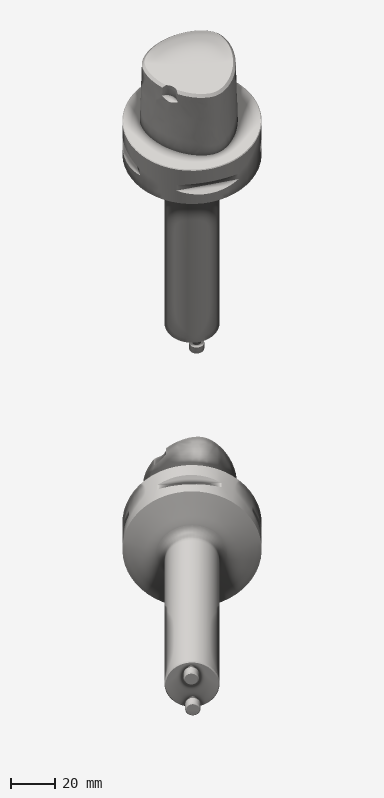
import cadquery as cq
import math

total_length = 178
shank_height = 37.7
flange_height = 21.9
bar_end_z = -132.3
tip_z = shank_height - total_length

flange_radius = 63.0 / 2
bar_radius = 25 / 2
cone_angle = math.radians(15)
neck_fillet = 4.6
rim_chamfer = 0.4
bar_chamfer = 0.5

shank_mean_radius = 44.3 / 2
lobe_size = 1.5
shank_taper = 1 / 40
shank_chamfer = 1.2
lobe_count = 3
profile_points = 48

notch_radius = 5.0
notch_cut = 2.3
notch_height = 6.4
notch_tip_height = 0.7 * notch_radius

groove_count = 4
groove_z = -12.3
groove_depth = 3.5
groove_floor_width = 3.5
groove_mouth_width = 7.7

screw_offset = 5.9
stem_radius = 4.0 / 2
head_radius = 7.0 / 2
head_height = 4.5
head_chamfer = 0.5


def shank_outline(mean_radius):
    """Closed three-lobed curve of constant width, with one lobe toward +Y."""
    points = []
    for i in range(profile_points):
        normal = 2 * math.pi * i / profile_points
        phase = lobe_count * (normal - math.pi / 2)
        support = mean_radius + lobe_size * math.cos(phase)
        slope = -lobe_count * lobe_size * math.sin(phase)
        x = support * math.cos(normal) - slope * math.sin(normal)
        y = support * math.sin(normal) + slope * math.cos(normal)
        points.append((x, y))
    return points


def shank_section(bottom_z, bottom_radius, top_z, top_radius):
    return (
        cq.Workplane("XY", origin=(0, 0, bottom_z))
        .spline(shank_outline(bottom_radius), periodic=True).close()
        .workplane(offset=top_z - bottom_z)
        .spline(shank_outline(top_radius), periodic=True).close()
        .loft(ruled=True)
    )


def shank():
    chamfer_z = shank_height - shank_chamfer
    chamfer_radius = shank_mean_radius - shank_taper * chamfer_z
    taper = shank_section(0, shank_mean_radius, chamfer_z, chamfer_radius)
    end = shank_section(chamfer_z, chamfer_radius, shank_height, chamfer_radius - shank_chamfer)
    return taper.union(end)


def notch_cutter():
    notch_z = shank_height - notch_height
    flat_y = lobe_size - shank_mean_radius + shank_taper * notch_z
    axis_y = flat_y + notch_cut - notch_radius
    return (
        cq.Workplane("XZ", origin=(0, axis_y, 0))
        .moveTo(0, notch_z - notch_tip_height)
        .lineTo(notch_radius, notch_z)
        .lineTo(notch_radius, shank_height)
        .lineTo(0, shank_height)
        .close()
        .revolve(360, (0, 0, 0), (0, 1, 0))
    )


def flange_and_bar():
    cone_end_z = -flange_height - (flange_radius - bar_radius) * math.tan(cone_angle)
    tangent = neck_fillet * math.tan((math.pi / 2 - cone_angle) / 2)
    fillet_center = (bar_radius + neck_fillet, cone_end_z - tangent)
    mid_angle = (math.pi / 2 - cone_angle) / 2
    fillet_mid = (
        fillet_center[0] - neck_fillet * math.cos(mid_angle),
        fillet_center[1] + neck_fillet * math.sin(mid_angle),
    )
    return (
        cq.Workplane("XZ")
        .moveTo(0, 0)
        .lineTo(flange_radius - rim_chamfer, 0)
        .lineTo(flange_radius, -rim_chamfer)
        .lineTo(flange_radius, -flange_height)
        .lineTo(
            bar_radius + tangent * math.cos(cone_angle),
            cone_end_z + tangent * math.sin(cone_angle),
        )
        .threePointArc(fillet_mid, (bar_radius, fillet_center[1]))
        .lineTo(bar_radius, bar_end_z + bar_chamfer)
        .lineTo(bar_radius - bar_chamfer, bar_end_z)
        .lineTo(0, bar_end_z)
        .close()
        .revolve(360, (0, 0, 0), (0, 1, 0))
    )


def groove_cutter():
    """Straight groove across the +X side, with flared upper and lower walls."""
    floor_half = groove_floor_width / 2
    mouth_half = groove_mouth_width / 2
    floor_x = flange_radius - groove_depth
    return (
        cq.Workplane("XZ", origin=(0, 0, groove_z))
        .polyline([
            (floor_x, -floor_half),
            (flange_radius, -mouth_half),
            (flange_radius, mouth_half),
            (floor_x, floor_half),
        ])
        .close()
        .extrude(flange_radius, both=True)
    )


def screw(x, y):
    head = (
        cq.Workplane("XY", origin=(x, y, tip_z))
        .circle(head_radius).extrude(head_height)
        .faces("<Z").chamfer(head_chamfer)
    )
    stem = cq.Workplane("XY", origin=(x, y, tip_z)).circle(stem_radius).extrude(bar_end_z - tip_z)
    return head.union(stem)


result = flange_and_bar().union(shank()).cut(notch_cutter())

for index in range(groove_count):
    groove_angle = 45 + index * 360 / groove_count
    result = result.cut(groove_cutter().rotate((0, 0, 0), (0, 0, 1), groove_angle))

for side in (-1, 1):
    result = result.union(screw(side * screw_offset, -side * screw_offset))